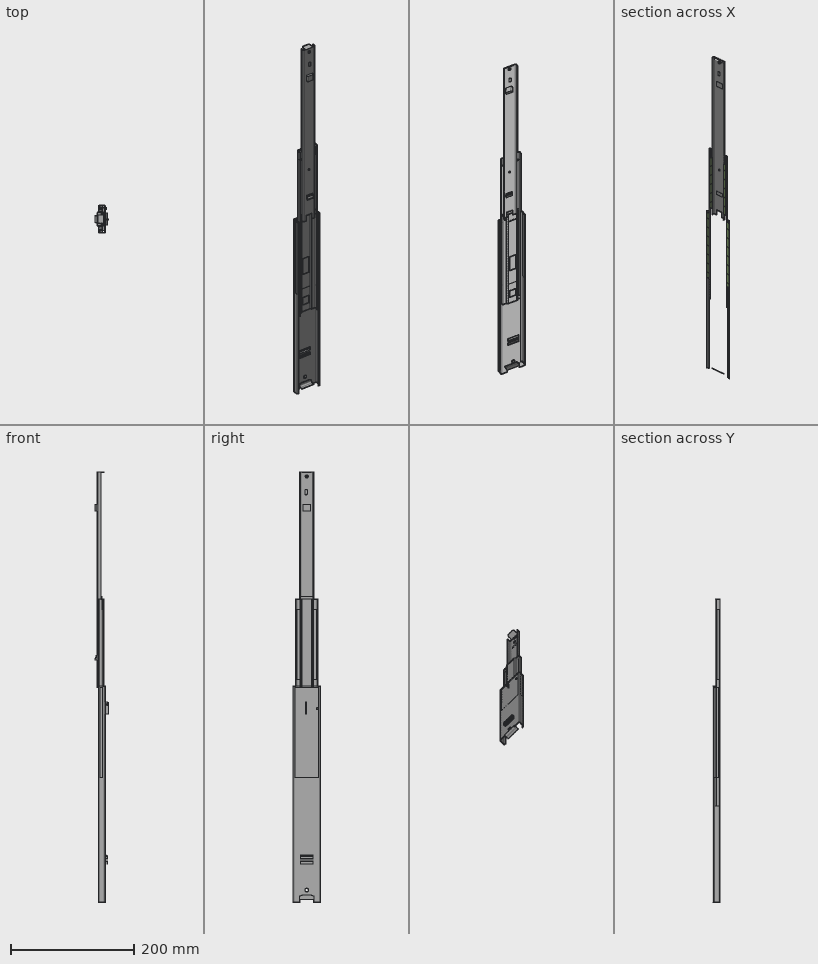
import cadquery as cq


sheet = 1.2
gap = 0.2
total_length = 700.0
total_thickness = 22.21
hook_tip = total_thickness / 2

outer_length = 351.5
outer_half = 45.46 / 2
outer_front = -5.3
outer_back = 6.0
outer_mouth = 18.6
outer_bend = 2.0
outer_web = outer_back - sheet

middle_bottom = 157.0
middle_top = 493.0
middle_half = 18.0
middle_front = -5.6
middle_back = 2.0
middle_bend = 1.8
middle_mouth = middle_half - middle_bend
middle_web = middle_back - sheet
bumper_length = 17.0
bumper_bottom = middle_top - bumper_length
dish_depth = 2.0
dish_floor_half = 7.6
dish_rim_half = 9.8

inner_bottom = 349.0
inner_half = 11.75
inner_front = -7.4
inner_back = -1.0
inner_bend = 2.0
inner_web = inner_front + sheet



def block(x0, x1, y0, y1, z0, z1):
    """Box between two corners."""
    return cq.Workplane("XY").box(x1 - x0, y1 - y0, z1 - z0, centered=False).translate((x0, y0, z0))


def wide_block(x0, x1, half_width, z0, z1):
    """Box centred on the Y = 0 plane."""
    return block(x0, x1, -half_width, half_width, z0, z1)


def side_plate(points, y0, y1):
    """Plate with an X-Z outline, spanning y0 to y1."""
    return cq.Workplane("XZ").polyline(points).close().extrude(y0 - y1).translate((0, y0, 0))


def tube(x0, x1, half_width, z0, z1, bend):
    """Rectangular rolled tube that the C-shaped rails are cut from."""
    outside = wide_block(x0, x1, half_width, z0, z1).edges("|Z").fillet(bend)
    inside = wide_block(x0 + sheet, x1 - sheet, half_width - sheet, z0, z1)
    return outside.cut(inside.edges("|Z").fillet(bend - sheet))


def web_hole(diameter, z):
    """Round cutter along X through all webs at height z."""
    cutter_length = 2 * total_thickness
    return cq.Workplane("YZ").center(0, z).circle(diameter / 2).extrude(cutter_length, both=True)



stop_half = 11.6
stop_top_half = 7.4
stop_bottom = 4.6
stop_shoulder = 10.0
stop_top = 11.7
stop_reach = -3.0
stop_bend = 2.5
end_notch_half = 11.0

lance_half = 10.0
lance_back = 9.5
strap_bottom = 70.5
strap_crest = 75.5
strap_top = 78.0
hook_bottom = 62.0
hook_top = 67.5

bayonet_bottom = 306.0
bayonet_notch_bottom = 320.5
bayonet_notch_top = 322.6
bayonet_beak_top = 324.7
bayonet_top = 326.0
bayonet_notch_x = 8.5
bayonet_shoulder_x = 9.5
bayonet_y0 = -1.8
bayonet_y1 = -0.2

nub_diameter = 3.0
nub_y = 17.0
nub_z = 315.0
nub_back = 7.4

outer_hole_diameter = 5.5
outer_hole_z = 20.0


def make_outer_rail():
    rail = tube(outer_front, outer_back, outer_half, 0, outer_length, outer_bend)
    rail = rail.cut(wide_block(outer_front, outer_front + sheet, outer_mouth, 0, outer_length))
    rail = rail.cut(web_hole(outer_hole_diameter, outer_hole_z))
    rail = rail.cut(wide_block(outer_web, outer_back, end_notch_half, 0, stop_bottom))

    stop = wide_block(stop_reach, outer_web, stop_half, stop_bottom, stop_bottom + sheet)
    gusset_outline = [
        (-stop_half, stop_bottom),
        (stop_half, stop_bottom),
        (stop_half, stop_shoulder),
        (stop_top_half, stop_top),
        (-stop_top_half, stop_top),
        (-stop_half, stop_shoulder),
    ]
    gusset = cq.Workplane("YZ").polyline(gusset_outline).close().extrude(sheet)
    stop = stop.union(gusset.translate((outer_web - sheet, 0, 0)))
    inside_corner = cq.selectors.NearestToPointSelector((outer_web - sheet, 0, stop_bottom + sheet))
    stop = stop.edges("|Y").edges(inside_corner).fillet(stop_bend)
    rail = rail.union(stop)

    strap_outline = [
        (outer_web, strap_bottom),
        (lance_back, strap_bottom),
        (lance_back, strap_crest),
        (outer_web, strap_top),
    ]
    strap_opening_outline = [
        (outer_web, strap_bottom + sheet),
        (lance_back - sheet, strap_bottom + sheet),
        (lance_back - sheet, strap_crest - sheet),
        (outer_web, strap_top - sheet),
    ]
    rail = rail.union(side_plate(strap_outline, -lance_half, lance_half))
    rail = rail.cut(side_plate(strap_opening_outline, -lance_half, lance_half))

    hook = wide_block(outer_web, lance_back, lance_half, hook_bottom, hook_top)
    hook_opening = wide_block(outer_web, lance_back - sheet, lance_half, hook_bottom, hook_top - sheet)
    rail = rail.union(hook).cut(hook_opening)

    bayonet_outline = [
        (outer_web, bayonet_bottom),
        (hook_tip, bayonet_bottom),
        (hook_tip, bayonet_notch_bottom),
        (bayonet_notch_x, bayonet_notch_bottom),
        (bayonet_notch_x, bayonet_notch_top),
        (hook_tip, bayonet_notch_top),
        (hook_tip, bayonet_beak_top),
        (bayonet_shoulder_x, bayonet_beak_top),
        (bayonet_shoulder_x, bayonet_top),
        (outer_web, bayonet_top),
    ]
    rail = rail.union(side_plate(bayonet_outline, bayonet_y0, bayonet_y1))

    nub = cq.Workplane("YZ").center(nub_y, nub_z).circle(nub_diameter / 2).extrude(nub_back - outer_web)
    return rail.union(nub.translate((outer_web, 0, 0)))



window_half = 5.5
window_spans = [(233.0, 265.0), (170.5, 185.5)]


def dish_solid(back, grow):
    """Trapezoid prism following the dish, used for its outside and its hollow."""
    outline = [
        (back - dish_depth, -dish_rim_half - grow),
        (back, -dish_floor_half - grow),
        (back, dish_floor_half + grow),
        (back - dish_depth, dish_rim_half + grow),
    ]
    prism = cq.Workplane("XY").polyline(outline).close().extrude(middle_top - middle_bottom)
    return prism.translate((0, 0, middle_bottom))


def make_middle_rail():
    rail = tube(middle_front, middle_back, middle_half, middle_bottom, middle_top, middle_bend)
    rail = rail.cut(
        wide_block(middle_front, middle_front + sheet, middle_mouth, middle_bottom, middle_top)
    )
    dish_back = middle_back + dish_depth
    rail = rail.union(dish_solid(dish_back, sheet)).cut(dish_solid(dish_back - sheet, 0))
    for bottom, top in window_spans:
        rail = rail.cut(wide_block(middle_web, dish_back, window_half, bottom, top))
    return rail



flange_half = 7.0
flange_tip_half = 5.0
flange_taper_x = 2.2
flange_reach = 3.6

screw_hole_diameter = 2.5
screw_head_diameter = 5.0
screw_head_depth = 0.8
screw_hole_z = 692.5

dimple_width = 4.0
dimple_length = 9.0
dimple_depth = 0.6
dimple_y = -1.0
dimple_z = 667.0

upper_tab_half = 6.0
upper_tab_bottom = 636.0
upper_tab_top = 647.0
upper_tab_round = 2.0

small_hole_diameter = 3.0
small_hole_z = 452.0

lower_tab_half = 5.8
lower_tab_bottom = 394.0
lower_tab_slope_bottom = 396.0
lower_tab_top = 401.5
lower_tab_slope_top = 399.0
lower_tab_neck_x = -9.4

inner_notch_half = 5.3
inner_notch_top = 360.0


def make_inner_rail():
    rail = tube(
        inner_front, inner_back + inner_bend, inner_half, inner_bottom, total_length, inner_bend
    )
    rail = rail.cut(
        wide_block(inner_back, inner_back + inner_bend, inner_half, inner_bottom, total_length)
    )
    rail = rail.cut(wide_block(inner_front, inner_web, inner_notch_half, inner_bottom, inner_notch_top))

    flange_outline = [
        (inner_web, -flange_half),
        (flange_taper_x, -flange_half),
        (flange_reach, -flange_tip_half),
        (flange_reach, flange_tip_half),
        (flange_taper_x, flange_half),
        (inner_web, flange_half),
    ]
    flange = cq.Workplane("XY").polyline(flange_outline).close().extrude(sheet)
    rail = rail.union(flange.translate((0, 0, total_length - sheet)))

    upper_tab = wide_block(-hook_tip, inner_front, upper_tab_half, upper_tab_bottom, upper_tab_top)
    rail = rail.union(upper_tab.edges("|Z and <X").fillet(upper_tab_round))

    lower_tab_outline = [
        (inner_front, lower_tab_bottom),
        (-hook_tip, lower_tab_bottom),
        (-hook_tip, lower_tab_slope_bottom),
        (lower_tab_neck_x, lower_tab_slope_top),
        (lower_tab_neck_x, lower_tab_top),
        (inner_front, lower_tab_top),
    ]
    rail = rail.union(side_plate(lower_tab_outline, -lower_tab_half, lower_tab_half))

    rail = rail.cut(web_hole(small_hole_diameter, small_hole_z))
    rail = rail.cut(web_hole(screw_hole_diameter, screw_hole_z))
    screw_head = (
        cq.Workplane("YZ").center(0, screw_hole_z).circle(screw_head_diameter / 2).extrude(screw_head_depth)
    )
    rail = rail.cut(screw_head.translate((inner_front, 0, 0)))
    dimple = (
        cq.Workplane("YZ").center(dimple_y, dimple_z).slot2D(dimple_length, dimple_width, 90)
        .extrude(dimple_depth)
    )
    return rail.cut(dimple.translate((inner_front, 0, 0)))



cage_sheet = 0.5

outer_cage_bottom = 203.0
outer_cage_top = 349.0
outer_row_front = -3.0
outer_row_back = 1.5
inner_cage_bottom = 362.0
inner_cage_top = 497.0
inner_cage_strip_half = inner_half - sheet - gap


def make_outer_cage():
    z0 = outer_cage_bottom
    z1 = outer_cage_top
    strip_front = middle_back + dish_depth + gap
    strip_back = strip_front + cage_sheet
    leg_inside = middle_half + gap
    leg_outside = leg_inside + cage_sheet
    row_outside = outer_half - sheet - gap
    cage = wide_block(strip_front, strip_back, leg_outside, z0, z1)
    for side in (-1, 1):
        leg_y = sorted((side * leg_inside, side * leg_outside))
        row_y = sorted((side * leg_inside, side * row_outside))
        cage = cage.union(block(outer_row_front, strip_back, *leg_y, z0, z1))
        cage = cage.union(block(outer_row_front, outer_row_back, *row_y, z0, z1))
    return cage


def make_inner_cage():
    z0 = inner_cage_bottom
    row_top = bumper_bottom - gap
    strip_back = middle_web - gap
    strip_front = inner_back + gap
    row_front = middle_front + sheet + gap
    row_inside = inner_half + gap
    row_outside = middle_mouth - gap
    cage = wide_block(strip_front, strip_back, row_outside, z0, row_top)
    cage = cage.union(wide_block(strip_front, strip_back, inner_cage_strip_half, row_top, inner_cage_top))
    for side in (-1, 1):
        row_y = sorted((side * row_inside, side * row_outside))
        cage = cage.union(block(row_front, strip_back, *row_y, z0, row_top))
    return cage



bumper_inside = 13.2
bumper_back = middle_back - middle_bend


def make_bumper(side):
    y_span = sorted((side * bumper_inside, side * middle_mouth))
    return block(middle_front, bumper_back, *y_span, bumper_bottom, middle_top)



outer_rail = make_outer_rail()
middle_rail = make_middle_rail()
inner_rail = make_inner_rail()
outer_cage = make_outer_cage()
inner_cage = make_inner_cage()
bumpers = [make_bumper(side) for side in (-1, 1)]

result = cq.Compound.makeCompound([
    outer_rail.val(),
    middle_rail.val(),
    inner_rail.val(),
    outer_cage.val(),
    inner_cage.val(),
    *[bumper.val() for bumper in bumpers],
])